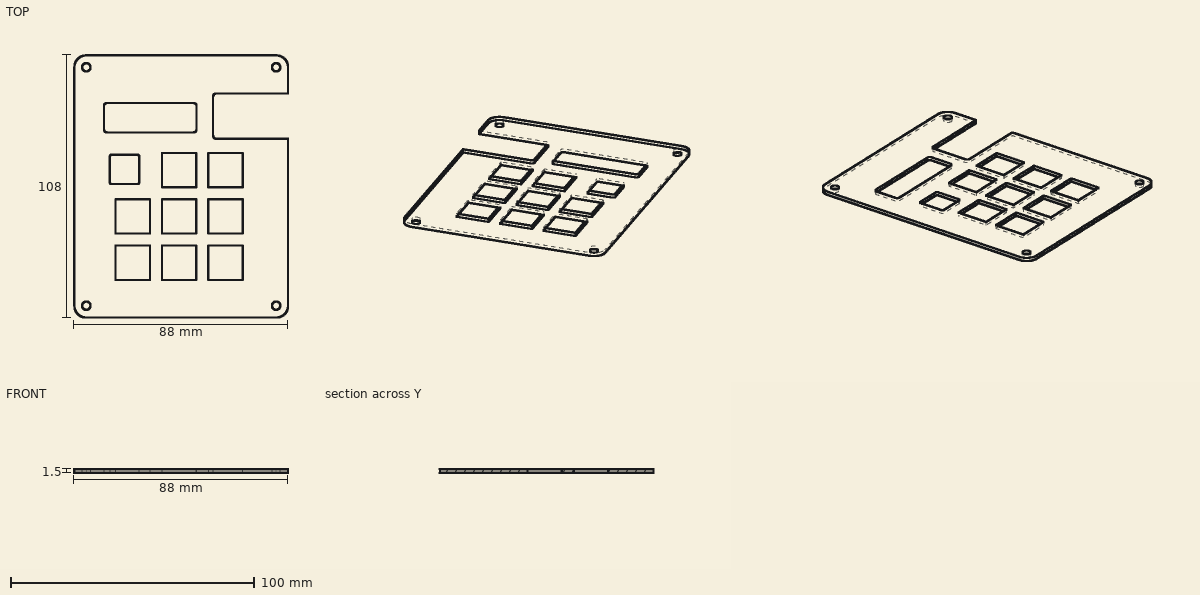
import cadquery as cq

plate_width = 88.0
plate_length = 108.0
plate_thickness = 1.5
corner_radius = 5.0

mount_hole_diameter = 3.3

key_size = 14.0
key_grid_span = 38.1
key_pitch = key_grid_span / 2
key_grid_x = -0.9
key_grid_y = -12.3
knob_cell = (-1, 1)

cutout_radius = 1.2
knob_size = 12.0
knob_radius = 0.6
knob_x = -23.3
knob_y = 7.0
display_width = 38.0
display_height = 12.0
display_x = -12.7
display_y = 28.3

notch_left = 13.2
notch_bottom = 19.7
notch_top = 38.2


def rounded_block(width, height, center_x, center_y, radius, edges="|Z"):
    """Plate-thick block with the selected vertical edges rounded."""
    block = cq.Workplane("XY").box(width, height, plate_thickness)
    return block.edges(edges).fillet(radius).translate((center_x, center_y, 0))


def make_plate():
    plate = cq.Workplane("XY").box(plate_width, plate_length, plate_thickness)
    plate = plate.edges("|Z").fillet(corner_radius)
    hole_spacing_x = plate_width - 2 * corner_radius
    hole_spacing_y = plate_length - 2 * corner_radius
    return (
        plate.faces(">Z").workplane()
        .rect(hole_spacing_x, hole_spacing_y, forConstruction=True)
        .vertices()
        .hole(mount_hole_diameter)
    )


def make_key_openings():
    grid_steps = (-1, 0, 1)
    centers = [
        (key_grid_x + column * key_pitch, key_grid_y + row * key_pitch)
        for column in grid_steps
        for row in grid_steps
        if (column, row) != knob_cell
    ]
    return cq.Workplane("XY").pushPoints(centers).box(key_size, key_size, plate_thickness)


def make_notch():
    """Notch with rounded inner corners, reaching the straight +X edge."""
    width = plate_width / 2 - notch_left
    height = notch_top - notch_bottom
    center_x = notch_left + width / 2
    center_y = (notch_bottom + notch_top) / 2
    return rounded_block(width, height, center_x, center_y, cutout_radius, edges="|Z and <X")


knob_opening = rounded_block(knob_size, knob_size, knob_x, knob_y, knob_radius)
display_opening = rounded_block(
    display_width, display_height, display_x, display_y, cutout_radius
)

result = (
    make_plate()
    .cut(make_key_openings())
    .cut(knob_opening)
    .cut(display_opening)
    .cut(make_notch())
)